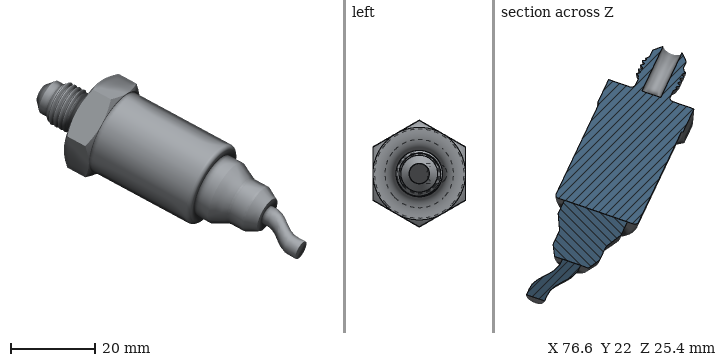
import cadquery as cq
import math

NOSE_CONE_END = 2.0
THREAD_START = 4.0
THREAD_END = 10.65
HEX_FRONT = 13.5
HEX_BACK = 20.6
HOUSING_END = 48.8
BOOT_COLLAR_END = 52.7
BOOT_NECK_START = 56.95
BOOT_NECK_END = 61.1
BOOT_END = 64.15
CABLE_END = 76.55

BORE_DIAMETER = 4.75
BORE_DEPTH = HEX_FRONT
TIP_DIAMETER = 4.8
NOSE_DIAMETER = 8.7
THREAD_ROOT_DIAMETER = 9.6
THREAD_DIAMETER = 11.0
RIDGE_START = 3.45
RIDGE_LENGTH = 7.65
RIDGE_TURNS = 6
THREAD_PITCH = RIDGE_LENGTH / RIDGE_TURNS
RIDGE_FOOT_WIDTH = 1.15
RIDGE_CREST_WIDTH = 0.2
RIDGE_SINK = 0.15
TRIM_CLEARANCE = 0.4
NECK_DIAMETER = 9.0

HEX_ACROSS_FLATS = 22.0
HEX_SIDES = 6
HEX_HALF_ANGLE = 180 / HEX_SIDES
HEX_CHAMFER_ANGLE = 30
BARREL_DIAMETER = 21.2
EDGE_RADIUS = 1.0

BOOT_COLLAR_DIAMETER = 16.2
BOOT_NECK_DIAMETER = 12.0
BOOT_END_DIAMETER = 8.7
CABLE_DIAMETER = 4.75
CABLE_OFFSET = 4.2
CABLE_BEND_START = 65.45
CABLE_BEND_END = 74.25
CABLE_SECTIONS = 15


def turned(points):
    """Solid of revolution about X from (x, radius) points, closed along the axis."""
    return cq.Workplane("XY").polyline(points).close().revolve(360, (0, 0, 0), (1, 0, 0))


def make_hexagon():
    """Hexagon with corners on Z, both ends chamfered by a cone down to the flats."""
    corner_diameter = HEX_ACROSS_FLATS / math.cos(math.radians(HEX_HALF_ANGLE))
    face_radius = HEX_ACROSS_FLATS / 2
    corner_radius = corner_diameter / 2
    chamfer = (corner_radius - face_radius) * math.tan(math.radians(HEX_CHAMFER_ANGLE))
    prism = (
        cq.Workplane("YZ", origin=(HEX_FRONT, 0, 0))
        .polygon(HEX_SIDES, corner_diameter)
        .extrude(HEX_BACK - HEX_FRONT)
        .rotate((0, 0, 0), (1, 0, 0), HEX_HALF_ANGLE)
    )
    envelope = turned([
        (HEX_FRONT, 0),
        (HEX_FRONT, face_radius),
        (HEX_FRONT + chamfer, corner_radius),
        (HEX_BACK - chamfer, corner_radius),
        (HEX_BACK, face_radius),
        (HEX_BACK, 0),
    ])
    return prism.intersect(envelope)


def make_nose():
    """Coned nose ahead of the thread."""
    return turned([
        (0, 0),
        (0, TIP_DIAMETER / 2),
        (NOSE_CONE_END, NOSE_DIAMETER / 2),
        (THREAD_START, NOSE_DIAMETER / 2),
        (THREAD_START, 0),
    ])


def make_thread():
    """Threaded length: a helical ridge on a core, trimmed at each end by a 45 degree cone."""
    root = THREAD_ROOT_DIAMETER / 2
    crest = THREAD_DIAMETER / 2
    nose = NOSE_DIAMETER / 2
    neck = NECK_DIAMETER / 2
    foot = root - RIDGE_SINK
    half_foot = RIDGE_FOOT_WIDTH / 2
    half_crest = RIDGE_CREST_WIDTH / 2
    helix = cq.Wire.makeHelix(THREAD_PITCH, RIDGE_LENGTH, root)
    ridge = (
        cq.Workplane("XZ")
        .polyline([(foot, -half_foot), (crest, -half_crest), (crest, half_crest), (foot, half_foot)])
        .close()
        .sweep(cq.Workplane(obj=helix), isFrenet=True)
    )
    core = cq.Workplane("XY", origin=(0, 0, -THREAD_PITCH)).circle(root)
    threaded_rod = (
        core.extrude(RIDGE_LENGTH + 2 * THREAD_PITCH)
        .union(ridge)
        .rotate((0, 0, 0), (0, 1, 0), 90)
        .translate((RIDGE_START, 0, 0))
    )
    clear_radius = crest + TRIM_CLEARANCE
    trim = turned([
        (THREAD_START, 0),
        (THREAD_START, nose),
        (THREAD_START + clear_radius - nose, clear_radius),
        (THREAD_END - clear_radius + neck, clear_radius),
        (THREAD_END, neck),
        (THREAD_END, 0),
    ])
    return threaded_rod.intersect(trim)


def make_barrel():
    """Neck, its fillet into the hexagon face, and the barrel with a rounded far edge."""
    neck = NECK_DIAMETER / 2
    barrel = BARREL_DIAMETER / 2
    return (
        cq.Workplane("XY")
        .moveTo(THREAD_END, 0)
        .lineTo(THREAD_END, neck)
        .lineTo(HEX_FRONT - EDGE_RADIUS, neck)
        .radiusArc((HEX_FRONT, neck + EDGE_RADIUS), -EDGE_RADIUS)
        .lineTo(HEX_FRONT, barrel)
        .lineTo(HOUSING_END - EDGE_RADIUS, barrel)
        .radiusArc((HOUSING_END, barrel - EDGE_RADIUS), EDGE_RADIUS)
        .lineTo(HOUSING_END, 0)
        .close()
        .revolve(360, (0, 0, 0), (1, 0, 0))
    )


def make_housing():
    """Metal body: nose, thread, hexagon and barrel in one piece, with a blind bore in the nose."""
    bore = cq.Workplane("YZ").circle(BORE_DIAMETER / 2).extrude(BORE_DEPTH)
    return make_thread().union(make_nose()).union(make_barrel()).union(make_hexagon()).cut(bore)


def make_boot():
    """Stepped strain-relief boot with both edges of its neck rounded."""
    outline = turned([
        (HOUSING_END, 0),
        (HOUSING_END, BOOT_COLLAR_DIAMETER / 2),
        (BOOT_COLLAR_END, BOOT_COLLAR_DIAMETER / 2),
        (BOOT_NECK_START, BOOT_NECK_DIAMETER / 2),
        (BOOT_NECK_END, BOOT_NECK_DIAMETER / 2),
        (BOOT_END, BOOT_END_DIAMETER / 2),
        (BOOT_END, 0),
    ])
    neck_edges = cq.selectors.BoxSelector(
        (BOOT_COLLAR_END + EDGE_RADIUS, -BOOT_COLLAR_DIAMETER, -BOOT_COLLAR_DIAMETER),
        (BOOT_END - EDGE_RADIUS, BOOT_COLLAR_DIAMETER, BOOT_COLLAR_DIAMETER),
    )
    return outline.edges("%CIRCLE").edges(neck_edges).fillet(EDGE_RADIUS)


def cable_shift(x):
    """Sideways shift of the cable centre: a half-cosine ramp between two straight ends."""
    ramp = (x - CABLE_BEND_START) / (CABLE_BEND_END - CABLE_BEND_START)
    ramp = min(max(ramp, 0), 1)
    return -CABLE_OFFSET * (1 - math.cos(math.pi * ramp)) / 2


def make_cable():
    """S-shaped cable, lofted through equal circles that all face along X."""
    spacing = (CABLE_END - BOOT_END) / (CABLE_SECTIONS - 1)
    sections = []
    for index in range(CABLE_SECTIONS):
        x = BOOT_END + index * spacing
        circle = cq.Wire.makeCircle(
            CABLE_DIAMETER / 2, cq.Vector(x, cable_shift(x), 0), cq.Vector(1, 0, 0)
        )
        sections.append(circle)
    return cq.Solid.makeLoft(sections)


housing = make_housing()
boot = make_boot()
cable = make_cable()

result = cq.Compound.makeCompound([housing.val(), boot.val(), cable])